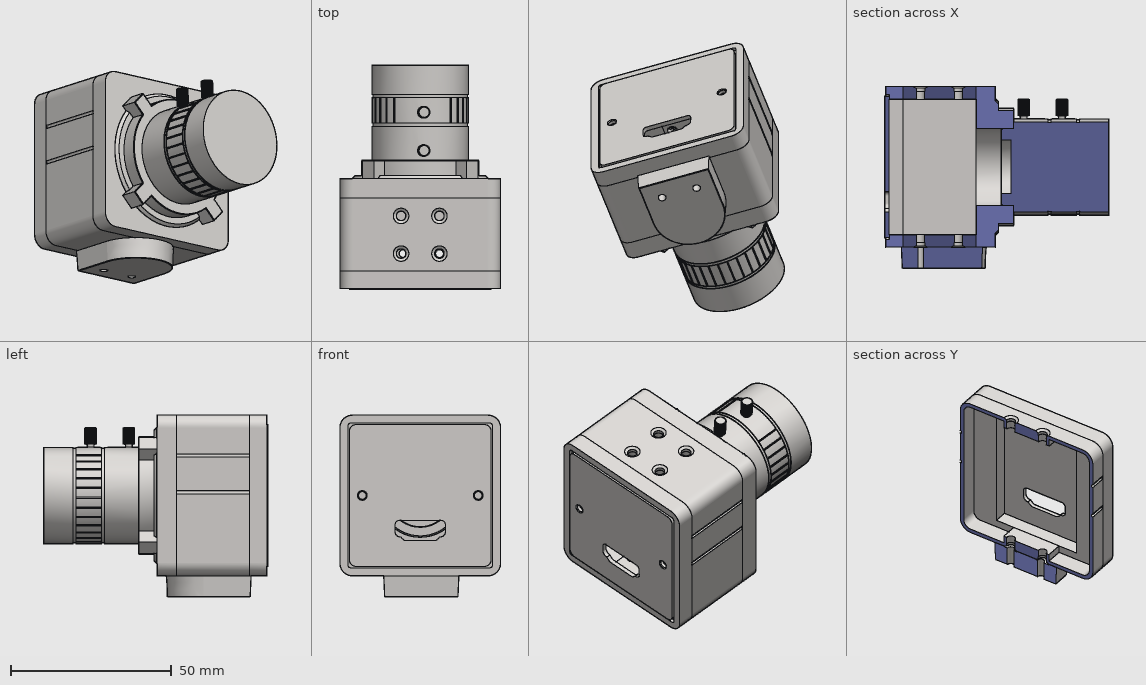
import cadquery as cq
import math


case_size = 50.0
case_corner = 4.0
case_wall = 1.5
frame_rear = 0.0
frame_front = 5.5
shell_front = 28.15
plate_front = 34.15

panel_size = 44.0
panel_corner = 2.0
panel_proud = 0.3
pocket_size = 45.0
pocket_corner = 1.0
pocket_depth = 1.1
window_width = 30.0
window_height = 42.0

panel_hole_x = 18.0
panel_hole_diameter = 2.4
panel_hole_rim = 3.0
panel_hole_cone_angle = 90.0
panel_hole_depth = 4.0

slot_half_width = 7.8
slot_top = -7.75
slot_shoulder = -12.85
slot_step_half_width = 6.4
slot_step_top = -12.6
slot_bottom = -14.05
slot_bottom_half_width = 4.9
slot_corner = 1.3
slot_shoulder_corner = 1.5

mount_hole_x = 5.95
mount_hole_rear = 10.9
mount_hole_pitch = 11.7
mount_hole_diameter = 3.0
tapped_diameter = 2.9
mount_hole_rim = 4.8
mount_hole_cone_depth = 0.52
pad_width = 17.0
pad_thickness = 4.0

side_groove_heights = (12.45, 1.0)
side_groove_radius = 0.5

flange_radius = 21.2
flange_height = 1.0
flange_chamfer = 0.9
mount_radius = 18.3
mount_front = 39.9
mount_edge_chamfer = 0.2
lug_length = 45.8
lug_width = 5.0
bore_radius = 13.0

lens_front = 69.4
lens_radius = 15.0
neck_radius = 14.75
neck_rear = 50.4
ring_rear = 51.4
ring_front = 59.35
neck_front = 60.3
lens_turn = 3.3
tail_length = 4.0
tail_chamfer = 0.45
eye_radius = 9.7
eye_chamfer = 0.2
eye_depth = 3.0
ring_slot_count = 30
ring_slots_left_out = 2
ring_slot_width = 0.35

screw_positions = (42.9, 54.8)
screw_shank_radius = 1.1
screw_shank_base = 12.0
knob_base = 16.0
knob_top = 21.1
knob_radius = 1.82
knob_tooth_depth = 0.12
knob_tooth_count = 30
knob_chamfer = 0.25

foot_offset = 0.33
foot_height = 6.5
foot_width = 23.4
foot_rear = 4.9
foot_straight = 14.7
foot_draft = 2.5
foot_edge_chamfer = 0.2
foot_hole_pitch = 11.3
foot_hole_diameter = 2.4


def rounded_square(size, corner, rear, front):
    """Square bar along Y with rounded corners."""
    length = front - rear
    return (
        cq.Workplane("XZ", origin=(0, front, 0))
        .rect(size, size)
        .extrude(length)
        .edges("|Y")
        .fillet(corner)
    )


def disc(radius, rear, front):
    """Cylinder on the lens axis."""
    return cq.Workplane("XZ", origin=(0, front, 0)).circle(radius).extrude(front - rear)


def make_rear_frame():
    frame = rounded_square(case_size, case_corner, frame_rear, frame_front)
    pocket = rounded_square(pocket_size, pocket_corner, frame_rear, pocket_depth)
    window = cq.Workplane("XY").box(window_width, 2 * frame_front, window_height)
    screw_holes = (
        cq.Workplane("XZ", origin=(0, panel_hole_depth, 0))
        .pushPoints([(-panel_hole_x, 0), (panel_hole_x, 0)])
        .circle(panel_hole_diameter / 2)
        .extrude(panel_hole_depth)
    )
    return frame.cut(pocket).cut(window).cut(screw_holes)


def connector_slot():
    """Rounded slot whose narrower lower part steps in under the rounded shoulders."""
    depth = pocket_depth + panel_proud
    upper = (
        cq.Workplane("XZ", origin=(0, pocket_depth, 0))
        .moveTo(0, (slot_top + slot_shoulder) / 2)
        .rect(2 * slot_half_width, slot_top - slot_shoulder)
        .extrude(depth)
        .edges("|Y and >Z")
        .fillet(slot_corner)
        .edges("|Y and <Z")
        .fillet(slot_shoulder_corner)
    )
    lower_outline = [
        (-slot_bottom_half_width, slot_bottom),
        (slot_bottom_half_width, slot_bottom),
        (slot_step_half_width, slot_step_top),
        (-slot_step_half_width, slot_step_top),
    ]
    lower = (
        cq.Workplane("XZ", origin=(0, pocket_depth, 0))
        .polyline(lower_outline)
        .close()
        .extrude(depth)
        .edges("|Y and <Z")
        .fillet(slot_corner)
    )
    return upper.union(lower)


def make_rear_panel():
    panel = rounded_square(panel_size, panel_corner, -panel_proud, pocket_depth)
    drilled_panel = (
        panel.faces("<Y")
        .workplane(origin=(0, -panel_proud, 0))
        .pushPoints([(-panel_hole_x, 0), (panel_hole_x, 0)])
        .cskHole(panel_hole_diameter, panel_hole_rim, panel_hole_cone_angle)
    )
    return drilled_panel.cut(connector_slot())


def mount_holes():
    """Countersunk holes through the top and bottom pads."""
    face = case_size / 2
    cone_bottom = face - mount_hole_cone_depth
    tapped_top = face - case_wall
    profile = [
        (0, face - pad_thickness),
        (tapped_diameter / 2, face - pad_thickness),
        (tapped_diameter / 2, tapped_top),
        (mount_hole_diameter / 2, tapped_top),
        (mount_hole_diameter / 2, cone_bottom),
        (mount_hole_rim / 2, face),
        (0, face),
    ]
    top_hole = cq.Workplane("XZ").polyline(profile).close().revolve(360, (0, 0), (0, 1))
    holes = cq.Workplane("XY")
    for x in (-mount_hole_x, mount_hole_x):
        for y in (mount_hole_rear, mount_hole_rear + mount_hole_pitch):
            placed = top_hole.translate((x, y, 0))
            holes = holes.add(placed).add(placed.mirror("XY"))
    return holes


def make_shell():
    length = shell_front - frame_front
    middle = (frame_front + shell_front) / 2
    shell = rounded_square(case_size, case_corner, frame_front, shell_front)
    cavity = rounded_square(
        case_size - 2 * case_wall, case_corner - case_wall, frame_front, shell_front
    )
    shell = shell.cut(cavity)
    pad_height = (case_size - pad_thickness) / 2
    for side in (-1, 1):
        pad = cq.Workplane("XY").box(pad_width, length, pad_thickness)
        shell = shell.union(pad.translate((0, middle, side * pad_height)))
        for height in side_groove_heights:
            groove = disc(side_groove_radius, frame_front, shell_front)
            shell = shell.cut(groove.translate((side * case_size / 2, 0, height)))
    for hole in mount_holes().vals():
        shell = shell.cut(cq.Workplane(hole))
    return shell


def make_front_plate():
    plate = rounded_square(case_size, case_corner, shell_front, plate_front)
    flange = disc(flange_radius, plate_front, plate_front + flange_height)
    flange = flange.faces(">Y").chamfer(flange_chamfer)
    plate = plate.union(flange).union(disc(mount_radius, plate_front, mount_front))
    lug_depth = mount_front - plate_front
    for angle in (-45, 45):
        lug = cq.Workplane("XY").box(lug_length, lug_depth, lug_width)
        lug = lug.rotate((0, 0, 0), (0, 1, 0), angle)
        plate = plate.union(lug.translate((0, plate_front + lug_depth / 2, 0)))
    plate = plate.faces(">Y").chamfer(mount_edge_chamfer)
    return plate.cut(disc(bore_radius, shell_front, mount_front))


def turned(body):
    """Turn a body about the lens axis to the angle at which the lens is screwed in."""
    return body.rotate((0, 0, 0), (0, 1, 0), lens_turn)


def slotted_ring():
    """Grip ring with fine slots all round except near the thumb screw."""
    ring = disc(lens_radius, ring_rear, ring_front)
    ring_length = ring_front - ring_rear
    ring_middle = (ring_front + ring_rear) / 2
    slot_depth = lens_radius - neck_radius
    slot = cq.Workplane("XY").box(ring_slot_width, ring_length, 2 * slot_depth)
    slot = slot.translate((0, ring_middle, lens_radius))
    for number in range(ring_slots_left_out + 1, ring_slot_count - ring_slots_left_out):
        ring = ring.cut(slot.rotate((0, 0, 0), (0, 1, 0), number * 360 / ring_slot_count))
    return ring


def make_lens():
    tail_rear = mount_front - tail_length
    profile = [
        (tail_rear + eye_depth, 0),
        (tail_rear + eye_depth, eye_radius),
        (tail_rear + eye_chamfer, eye_radius),
        (tail_rear, eye_radius + eye_chamfer),
        (tail_rear, bore_radius - tail_chamfer),
        (tail_rear + tail_chamfer, bore_radius),
        (mount_front, bore_radius),
        (mount_front, lens_radius),
        (neck_rear, lens_radius),
        (neck_rear, neck_radius),
        (neck_front, neck_radius),
        (neck_front, lens_radius),
        (lens_front, lens_radius),
        (lens_front, 0),
    ]
    barrel = cq.Workplane("YZ").polyline(profile).close().revolve(360, (0, 0), (1, 0))
    lens = barrel.union(slotted_ring())
    for y in screw_positions:
        shank_hole = cq.Workplane("XY", origin=(0, y, screw_shank_base)).circle(screw_shank_radius)
        lens = lens.cut(shank_hole.extrude(knob_base - screw_shank_base))
    return turned(lens)


def make_thumb_screw(y):
    shank = cq.Workplane("XY", origin=(0, y, screw_shank_base)).circle(screw_shank_radius)
    shank = shank.extrude(knob_base - screw_shank_base)
    outline = []
    for step in range(2 * knob_tooth_count):
        angle = math.pi * step / knob_tooth_count
        radius = knob_radius - knob_tooth_depth * (step % 2)
        outline.append((radius * math.cos(angle), radius * math.sin(angle)))
    knob = cq.Workplane("XY", origin=(0, y, knob_base)).polyline(outline).close()
    knob = knob.extrude(knob_top - knob_base)
    chamfered_blank = cq.Workplane("XY", origin=(0, y, knob_base)).circle(knob_radius)
    chamfered_blank = chamfered_blank.extrude(knob_top - knob_base).faces(">Z").chamfer(knob_chamfer)
    return turned(shank.union(knob.intersect(chamfered_blank)))


def make_foot():
    half_width = foot_width / 2
    straight_end = foot_rear + foot_straight
    foot = (
        cq.Workplane("XY", origin=(foot_offset, 0, -case_size / 2))
        .moveTo(-half_width, straight_end)
        .lineTo(-half_width, foot_rear)
        .lineTo(half_width, foot_rear)
        .lineTo(half_width, straight_end)
        .threePointArc((0, straight_end + half_width), (-half_width, straight_end))
        .close()
        .extrude(-foot_height, taper=foot_draft)
        .faces("<Z")
        .chamfer(foot_edge_chamfer)
    )
    holes = (
        cq.Workplane("XY", origin=(foot_offset, mount_hole_rear, -case_size / 2))
        .pushPoints([(-foot_hole_pitch / 2, 0), (foot_hole_pitch / 2, 0)])
        .circle(foot_hole_diameter / 2)
        .extrude(-foot_height)
    )
    return foot.cut(holes)


rear_frame = make_rear_frame()
rear_panel = make_rear_panel()
shell = make_shell()
front_plate = make_front_plate()
lens = make_lens()
thumb_screws = [make_thumb_screw(y) for y in screw_positions]
foot = make_foot()

result = cq.Compound.makeCompound(
    [
        rear_frame.val(),
        rear_panel.val(),
        shell.val(),
        front_plate.val(),
        lens.val(),
        *[screw.val() for screw in thumb_screws],
        foot.val(),
    ]
)